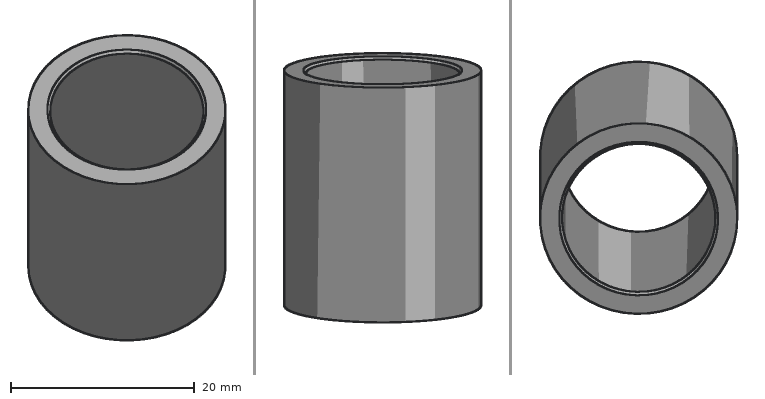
import cadquery as cq

length = 26.0
outer_diameter = 21.5
bore_diameter = 16.7
mouth_bevel = 0.3

sleeve = (
    cq.Workplane("XY")
    .circle(outer_diameter / 2)
    .circle(bore_diameter / 2)
    .extrude(length)
)

mid_wall_radius = (outer_diameter + bore_diameter) / 4
bore_region = cq.selectors.BoxSelector(
    (-mid_wall_radius, -mid_wall_radius, -length),
    (mid_wall_radius, mid_wall_radius, 2 * length),
    boundingbox=True,
)

result = sleeve.faces("<Z or >Z").edges(bore_region).chamfer(mouth_bevel)